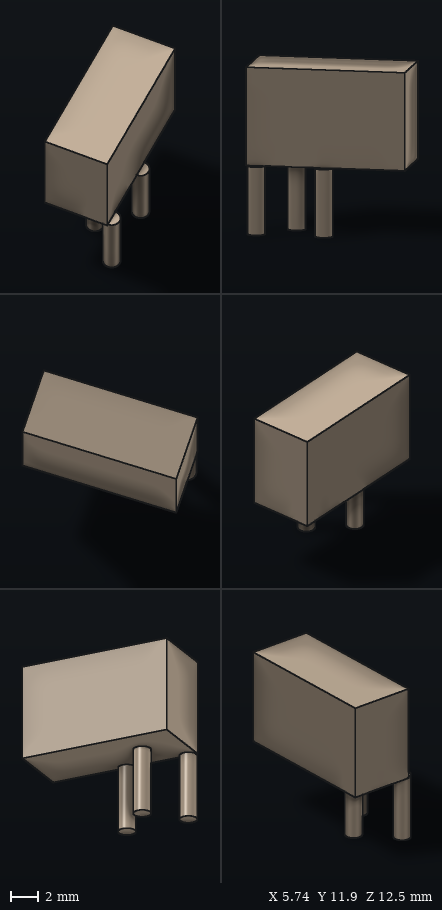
import cadquery as cq

total_height = 12.47
housing_width = 5.08
housing_length = 11.93
housing_height = 7.36
pin_length = total_height - housing_height

pin_diameter = 1.32
pin_pitch = housing_width / 2
first_pin_y = 0.77

pin_centres = [
    (2 * pin_pitch, first_pin_y),
    (pin_pitch, first_pin_y + pin_pitch),
    (2 * pin_pitch, first_pin_y + 2 * pin_pitch),
]


def make_housing():
    """Plain block whose underside lies on Z = 0."""
    return cq.Workplane("XY").box(
        housing_width, housing_length, housing_height, centered=False
    )


def make_pin(x, y):
    """Round pin hanging from the underside plane of the housing."""
    return cq.Workplane("XY").center(x, y).circle(pin_diameter / 2).extrude(-pin_length)


housing = make_housing()
pins = [make_pin(x, y) for x, y in pin_centres]

result = cq.Compound.makeCompound([housing.val(), *[pin.val() for pin in pins]])